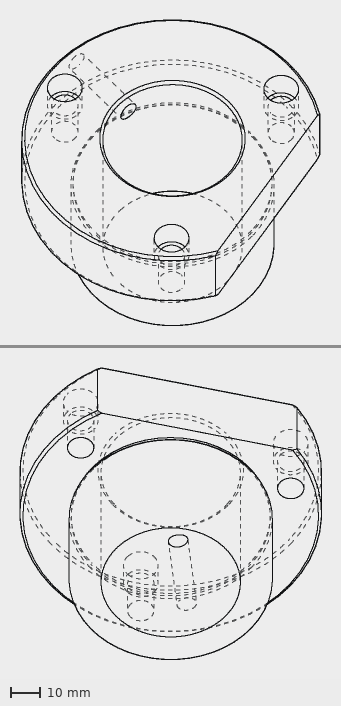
import cadquery as cq
import math

flange_diameter = 103.9
flange_thickness = 25.0
flange_chamfer = 1.0
flat_distance = 38.0

total_height = 62.0
spigot_diameter = 70.0
spigot_fillet = 2.0
groove_diameter = 68.6
groove_width = 1.2
groove_chamfer = (spigot_diameter - groove_diameter) / 2

bore_diameter = 48.0
bore_chamfer = 1.0

bolt_circle_radius = 43.0
bolt_angles = (60, 180, 300)
bolt_diameter = 9.0
counterbore_diameter = 12.0
counterbore_depth = 10.0

port_diameter = 6.8
port_depth_below_top = 9.0
port_angle = 160

flange_bottom = total_height - flange_thickness
flange_radius = flange_diameter / 2


def make_flange():
    disc = (
        cq.Workplane("XY", origin=(0, 0, flange_bottom))
        .circle(flange_radius)
        .extrude(flange_thickness)
        .edges()
        .chamfer(flange_chamfer)
    )
    kept_length = flange_radius + flat_distance
    kept = cq.Workplane("XY").box(
        kept_length, flange_diameter, total_height, centered=(False, True, False)
    )
    return disc.intersect(kept.translate((-flange_radius, 0, 0)))


def make_spigot():
    spigot = (
        cq.Workplane("XY")
        .circle(spigot_diameter / 2)
        .extrude(flange_bottom - groove_width)
        .faces(">Z")
        .chamfer(groove_chamfer)
        .faces("<Z")
        .edges()
        .fillet(spigot_fillet)
    )
    neck = (
        cq.Workplane("XY", origin=(0, 0, flange_bottom - groove_width))
        .circle(groove_diameter / 2)
        .extrude(groove_width)
    )
    return spigot.union(neck)


def make_bore():
    bore = cq.Workplane("XY").circle(bore_diameter / 2).extrude(total_height)
    chamfer_cone = cq.Solid.makeCone(
        bore_diameter / 2,
        bore_diameter / 2 + bore_chamfer,
        bore_chamfer,
        cq.Vector(0, 0, total_height - bore_chamfer),
    )
    return bore.union(cq.Workplane(chamfer_cone))


def make_bolt_hole(angle):
    x = bolt_circle_radius * math.cos(math.radians(angle))
    y = bolt_circle_radius * math.sin(math.radians(angle))
    shank = cq.Workplane("XY").center(x, y).circle(bolt_diameter / 2).extrude(total_height)
    counterbore = (
        cq.Workplane("XY", origin=(x, y, total_height - counterbore_depth))
        .circle(counterbore_diameter / 2)
        .extrude(counterbore_depth)
    )
    return shank.union(counterbore)


def make_port():
    angle = math.radians(port_angle)
    direction = cq.Vector(math.cos(angle), math.sin(angle), 0)
    start = cq.Vector(0, 0, total_height - port_depth_below_top)
    return cq.Workplane(
        cq.Solid.makeCylinder(port_diameter / 2, flange_radius, start, direction)
    )


result = make_flange().union(make_spigot()).cut(make_bore())
for bolt_angle in bolt_angles:
    result = result.cut(make_bolt_hole(bolt_angle))
result = result.cut(make_port())